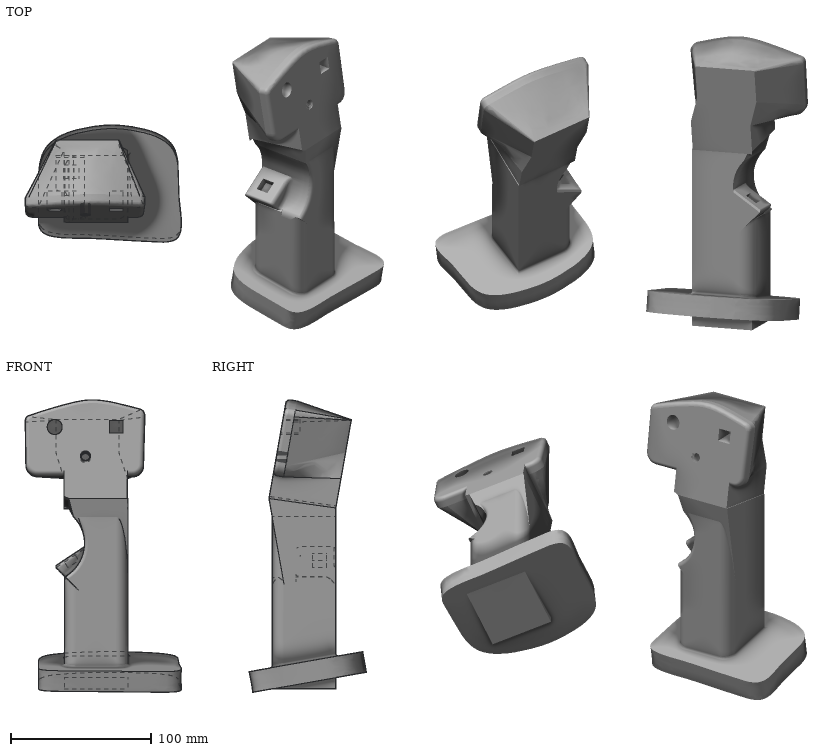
import cadquery as cq
import math


STEM_WIDTH = 45.4
STEM_DEPTH = 45.3
FRONT_CORNER_RADIUS = 8.4
BACK_CORNER_RADIUS = 10.0
SQUARE_FOOT_HEIGHT = 10.0

TILT = 10.0
BASE_THICKNESS = 15.0
BASE_JOINT_RADIUS = 1.8
BASE_OUTLINE = [
    (-18.6, 0.7),
    (-15.1, -7.2),
    (-6.9, -10.2),
    (15.0, -11.2),
    (33.0, -12.1),
    (50.0, -13.1),
    (65.0, -13.95),
    (73.0, -13.9),
    (80.3, -11.2),
    (83.15, -4.4),
    (82.5, 8.0),
    (81.3, 27.0),
    (79.9, 46.6),
    (77.2, 53.2),
    (69.6, 60.2),
    (53.0, 66.0),
    (34.5, 68.2),
    (15.0, 66.1),
    (-1.9, 60.8),
    (-13.2, 51.7),
    (-17.8, 39.0),
    (-18.6, 20.0),
]

NECK_START = 122.4
CREASE_HEIGHT = 135.7
CREASE_TILT = 8.1
CREASE_Y = -(CREASE_HEIGHT - NECK_START) * math.tan(math.radians(TILT))

GROOVE_RADIUS = 27.0
GROOVE_X = -12.7
GROOVE_Z = 103.6
GROOVE_EDGE_RADIUS = 3.0
LIP_EDGE_RADIUS = 6.0

LEDGE_WIDTH = 3.1
LEDGE_DROP = 1.35
LEDGE_OVERRUN = 1.5

UNDERSIDE_LEVEL = 80.4
TRIGGER_SLOPE = 33.5
TRIGGER_TOP_LEVEL = 91.9
TRIGGER_FRONT_Y = 20.0
TRIGGER_INNER_X = 20.0
TRIGGER_SIDE_RADIUS = 3.0
TRIGGER_JOINT_ANGLE = math.radians(-30)
TRIGGER_TIP_RADIUS = 1.4
TRIGGER_BACK_CHAMFER = 1.3
TRIGGER_POCKET = (9.7, 9.2)
TRIGGER_POCKET_CENTER = (3.1, 33.7)
TRIGGER_POCKET_DEPTH = 6.0

HEAD_NECK_LEFT = -0.3
HEAD_NECK_RIGHT = 44.9
HEAD_DEPTH = 48.2
PLATE_THICKNESS = 7.7
PLATE_TOP_LEFT = (-28.05, 59.5)
PLATE_ARCH = [(-15.0, 64.0), (-2.0, 67.9), (19.4, 71.9), (38.5, 69.2)]
PLATE_TOP_RIGHT = (57.5, 64.3)
PLATE_BOTTOM_RIGHT = (56.2, 16.9)
PLATE_BOTTOM_LEFT = (-27.4, 16.9)
PLATE_CORNER_RADII = {
    PLATE_TOP_LEFT: 4.0,
    PLATE_TOP_RIGHT: 5.0,
    PLATE_BOTTOM_RIGHT: 8.0,
    PLATE_BOTTOM_LEFT: 8.7,
}
PLATE_EDGE_RADIUS = 3.0
BACK_LEFT = -6.0
BACK_RIGHT = 38.9
BACK_BOTTOM = 22.9
BACK_MIDDLE = 41.5
BACK_TOP = 65.5

ROUND_HOLE_DIAMETER = 10.7
ROUND_HOLE_CENTER = (-6.9, 186.6)
SQUARE_HOLE_SIZE = (9.7, 9.0)
SQUARE_HOLE_CENTER = (37.0, 186.9)
FACE_POCKET_END_Y = 20.0
SCREW_CENTER = (15.0, 30.8)
SCREW_MINOR_DIAMETER = 6.28
SCREW_MAJOR_DIAMETER = 7.12
SCREW_DEPTH = 8.0
THREAD_PITCH = 1.0


def nearest_edge(x, y, z):
    return cq.selectors.NearestToPointSelector((x, y, z))


def make_base():
    outline = cq.Workplane("XY").spline(BASE_OUTLINE, periodic=True).close()
    return outline.extrude(BASE_THICKNESS).rotate((0, 0, 0), (1, 0, 0), TILT)


def make_stem():
    stem = cq.Workplane("XY").box(STEM_WIDTH, STEM_DEPTH, NECK_START, centered=False)
    stem = stem.edges("|Z and <Y").fillet(FRONT_CORNER_RADIUS)
    stem = stem.edges("|Z and >Y and <X").fillet(BACK_CORNER_RADIUS)
    foot = cq.Workplane("XY").box(STEM_WIDTH, STEM_DEPTH, SQUARE_FOOT_HEIGHT, centered=False)
    return stem.union(foot)


def base_normal():
    angle = math.radians(TILT)
    return cq.Vector(0, -math.sin(angle), math.cos(angle))


def crease_level(y):
    """Height of the sloping plane that divides the neck from the head."""
    return CREASE_HEIGHT - (y - CREASE_Y) * math.tan(math.radians(CREASE_TILT))


def make_neck():
    """Square-cornered transition between the rounded stem and the tilted head."""
    slope = math.tan(math.radians(TILT))
    side = [
        (0, NECK_START),
        (CREASE_Y, CREASE_HEIGHT),
        (STEM_DEPTH, crease_level(STEM_DEPTH)),
        (STEM_DEPTH, NECK_START),
    ]
    neck = cq.Workplane("YZ").polyline(side).close().extrude(STEM_WIDTH)
    corner = [
        (0, NECK_START),
        (FRONT_CORNER_RADIUS, NECK_START),
        (FRONT_CORNER_RADIUS, NECK_START - FRONT_CORNER_RADIUS / slope),
    ]
    corner_fill = (
        cq.Workplane("YZ", origin=(STEM_WIDTH - FRONT_CORNER_RADIUS, 0, 0))
        .polyline(corner)
        .close()
        .extrude(FRONT_CORNER_RADIUS)
    )
    return neck.union(corner_fill)


def make_left_fill():
    """Squares off the stem's left corners above the trigger's underside plane."""
    reach = BACK_CORNER_RADIUS
    side = [
        (0, UNDERSIDE_LEVEL),
        (reach, UNDERSIDE_LEVEL - reach),
        (reach, NECK_START),
        (0, NECK_START),
    ]
    return cq.Workplane("XZ").polyline(side).close().extrude(-STEM_DEPTH)


def groove_tangent():
    """Point where the round part of the groove runs into its straight upper part."""
    diagonal = GROOVE_RADIUS * math.sqrt(0.5)
    return (GROOVE_X + diagonal, GROOVE_Z + diagonal)


def make_groove():
    """Cutter: a round trough that leaves along a 45 degree tangent at the top."""
    tangent = groove_tangent()
    far_left = GROOVE_X - GROOVE_RADIUS
    top_left = (far_left, tangent[1] + tangent[0] - far_left)
    return (
        cq.Workplane("XZ", origin=(0, CREASE_Y, 0))
        .moveTo(GROOVE_X, GROOVE_Z - GROOVE_RADIUS)
        .threePointArc((GROOVE_X + GROOVE_RADIUS, GROOVE_Z), tangent)
        .lineTo(*top_left)
        .lineTo(far_left, GROOVE_Z - GROOVE_RADIUS)
        .close()
        .extrude(-(STEM_DEPTH - CREASE_Y))
    )


def make_ledge():
    """Cutter that sets the neck's left side back below the crease, down to the groove."""
    groove_end = groove_tangent()
    outside = LEDGE_WIDTH * (1 - LEDGE_OVERRUN)
    sections = []
    for y in (CREASE_Y, STEM_DEPTH):
        crease = crease_level(y)
        corners = [
            (outside, crease + LEDGE_DROP * LEDGE_OVERRUN),
            (LEDGE_WIDTH, crease),
            groove_end,
            (outside, groove_end[1]),
        ]
        sections.append(cq.Workplane("XZ", origin=(0, y, 0)).polyline(corners).close().val())
    return cq.Workplane(cq.Solid.makeLoft(sections, True))


def make_lip_rounding():
    """Cutter that rounds the lower lip of the groove, in front of the trigger block."""
    radius = LIP_EDGE_RADIUS
    reach = GROOVE_RADIUS + radius
    center_z = GROOVE_Z - math.sqrt(reach**2 - (radius - GROOVE_X) ** 2)
    tangent_x = GROOVE_X + (radius - GROOVE_X) * GROOVE_RADIUS / reach
    tangent_z = GROOVE_Z + (center_z - GROOVE_Z) * GROOVE_RADIUS / reach
    chord_angle = (math.pi + math.atan2(tangent_z - center_z, tangent_x - radius)) / 2
    middle = (radius + radius * math.cos(chord_angle), center_z + radius * math.sin(chord_angle))
    return (
        cq.Workplane("XZ")
        .moveTo(0, center_z)
        .threePointArc(middle, (tangent_x, tangent_z))
        .lineTo(-radius, tangent_z)
        .lineTo(-radius, center_z)
        .close()
        .extrude(TRIGGER_SIDE_RADIUS - TRIGGER_FRONT_Y)
    )


def trigger_top_height(x):
    return TRIGGER_TOP_LEVEL + x * math.tan(math.radians(TRIGGER_SLOPE))


def trigger_tip_x():
    """Where the sloping top of the trigger block meets its underside."""
    return (UNDERSIDE_LEVEL - TRIGGER_TOP_LEVEL) / (1 + math.tan(math.radians(TRIGGER_SLOPE)))


def make_trigger():
    tip_x = trigger_tip_x()
    side = [
        (tip_x, UNDERSIDE_LEVEL - tip_x),
        (TRIGGER_INNER_X, trigger_top_height(TRIGGER_INNER_X)),
        (TRIGGER_INNER_X, UNDERSIDE_LEVEL - TRIGGER_INNER_X),
    ]
    block = (
        cq.Workplane("XZ", origin=(0, TRIGGER_FRONT_Y, 0))
        .polyline(side)
        .close()
        .extrude(TRIGGER_FRONT_Y - STEM_DEPTH)
    )
    back_edge = nearest_edge(0, STEM_DEPTH, TRIGGER_TOP_LEVEL)
    return block.edges(back_edge).chamfer(TRIGGER_BACK_CHAMFER)


def add_trigger(grip):
    """Joins the trigger block to the groove, rounds its edges and cuts its pocket."""
    joined = grip.union(make_trigger())
    middle_y = (TRIGGER_FRONT_Y + STEM_DEPTH) / 2
    tip_x = trigger_tip_x()
    joint_x = GROOVE_X + GROOVE_RADIUS * math.cos(TRIGGER_JOINT_ANGLE)
    joint_z = GROOVE_Z + GROOVE_RADIUS * math.sin(TRIGGER_JOINT_ANGLE)
    joined = joined.edges(nearest_edge(joint_x, TRIGGER_FRONT_Y, joint_z)).fillet(TRIGGER_SIDE_RADIUS)
    joined = joined.edges(nearest_edge(0, TRIGGER_FRONT_Y, TRIGGER_TOP_LEVEL)).fillet(TRIGGER_SIDE_RADIUS)
    joined = joined.edges(nearest_edge(tip_x, middle_y, UNDERSIDE_LEVEL - tip_x)).fillet(TRIGGER_TIP_RADIUS)
    return joined.cut(make_lip_rounding()).cut(make_trigger_pocket())


def make_trigger_pocket():
    x, y = TRIGGER_POCKET_CENTER
    angle = math.radians(TRIGGER_SLOPE)
    top = cq.Plane(
        origin=(x, y, trigger_top_height(x)),
        xDir=(0, 1, 0),
        normal=(-math.sin(angle), 0, math.cos(angle)),
    )
    return cq.Workplane(top).rect(*TRIGGER_POCKET).extrude(-TRIGGER_POCKET_DEPTH)


def make_plate():
    """Front plate of the head, with an arched top edge and a rounded front rim."""
    plate = (
        cq.Workplane("XZ")
        .moveTo(*PLATE_TOP_LEFT)
        .spline(PLATE_ARCH + [PLATE_TOP_RIGHT], includeCurrent=True)
        .lineTo(*PLATE_BOTTOM_RIGHT)
        .lineTo(*PLATE_BOTTOM_LEFT)
        .close()
        .extrude(-PLATE_THICKNESS)
    )
    for (x, z), radius in PLATE_CORNER_RADII.items():
        plate = plate.edges(nearest_edge(x, PLATE_THICKNESS / 2, z)).fillet(radius)
    return plate.faces("<Y").edges().fillet(PLATE_EDGE_RADIUS)


def make_back_outline():
    """Back face of the head, with one side for every edge of the plate's outline."""
    corner = 0.5
    points = [
        (HEAD_NECK_RIGHT, BACK_BOTTOM),
        (HEAD_NECK_LEFT, BACK_BOTTOM),
        (BACK_LEFT, BACK_MIDDLE),
        (BACK_LEFT, BACK_TOP - corner),
        (BACK_LEFT + corner, BACK_TOP),
        (BACK_RIGHT - corner, BACK_TOP),
        (BACK_RIGHT, BACK_TOP - corner),
        (BACK_RIGHT, BACK_MIDDLE),
    ]
    return cq.Workplane("XZ", origin=(0, HEAD_DEPTH, 0)).polyline(points).close().val()


def make_face_pockets():
    """Level round and square pockets that enter the leaning face of the head."""
    front = cq.Workplane("XZ", origin=(0, CREASE_Y, 0))
    depth = FACE_POCKET_END_Y - CREASE_Y
    round_pocket = front.center(*ROUND_HOLE_CENTER).circle(ROUND_HOLE_DIAMETER / 2).extrude(-depth)
    square_pocket = front.center(*SQUARE_HOLE_CENTER).rect(*SQUARE_HOLE_SIZE).extrude(-depth)
    return round_pocket.union(square_pocket)


def make_screw_hole():
    """Blind hole square to the face, with a ring groove for every turn of the thread."""
    hole = (
        cq.Workplane("XZ")
        .center(*SCREW_CENTER)
        .circle(SCREW_MINOR_DIAMETER / 2)
        .extrude(-SCREW_DEPTH)
    )
    for turn in range(int(SCREW_DEPTH / THREAD_PITCH)):
        groove = (
            cq.Workplane("XZ", origin=(0, turn * THREAD_PITCH, 0))
            .center(*SCREW_CENTER)
            .circle(SCREW_MAJOR_DIAMETER / 2)
            .extrude(-THREAD_PITCH / 2)
        )
        hole = hole.union(groove)
    return hole


def make_head():
    plate = make_plate()
    plate_back = plate.faces(">Y").wires().val()
    taper = cq.Workplane(cq.Solid.makeLoft([plate_back, make_back_outline()], True))
    neck_width = HEAD_NECK_RIGHT - HEAD_NECK_LEFT
    neck = cq.Workplane("XY", origin=(HEAD_NECK_LEFT, 0, 0)).box(
        neck_width, HEAD_DEPTH, BACK_BOTTOM, centered=False
    )
    head = plate.union(taper).union(neck).cut(make_screw_hole())
    head = head.rotate((0, 0, 0), (1, 0, 0), -TILT).translate((0, CREASE_Y, CREASE_HEIGHT))
    return head.cut(make_face_pockets()).cut(make_ledge())


def make_grip():
    """Stem and neck with the finger groove, before the trigger block is added."""
    grip = make_stem().union(make_left_fill()).union(make_neck())
    grip = grip.cut(make_groove()).cut(make_ledge())
    rim_point = (GROOVE_X + GROOVE_RADIUS, 0, GROOVE_Z)
    grip = grip.edges(nearest_edge(*rim_point)).fillet(GROOVE_EDGE_RADIUS)
    return grip


def join_base(part):
    """Adds the base and rounds the joint where the stem meets its top."""
    joined = part.union(make_base())
    top_faces = joined.faces(cq.selectors.ParallelDirSelector(base_normal(), 0.001)).vals()
    top_face = max(top_faces, key=lambda face: face.Center().z)
    joint_edges = top_face.innerWires()[0].Edges()
    return cq.Workplane(joined.val().fillet(BASE_JOINT_RADIUS, joint_edges))


grip = add_trigger(make_grip())
result = join_base(grip).union(make_head())